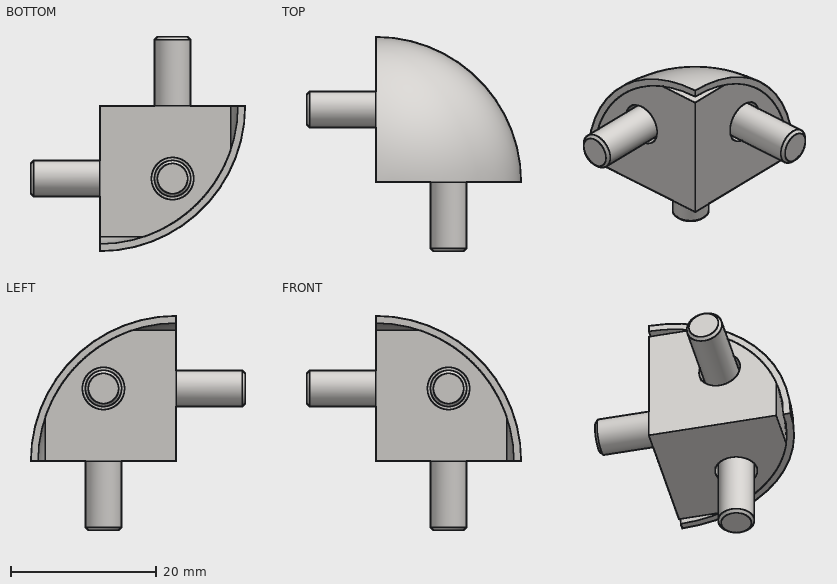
import cadquery as cq

shell_radius = 20.0
shell_thickness = 1.0
core_side = 18.0
pin_diameter = 5.0
overall_size = 29.5
pin_chamfer = 0.4
hole_diameter = 5.8
hole_depth = 5.0

core_radius = shell_radius - shell_thickness
pin_offset = shell_radius / 2
pin_projection = overall_size - shell_radius

pin_directions = [(1, 0, 0), (0, 1, 0), (0, 0, 1)]


def octant_ball(radius):
    """Eighth of a ball in the positive X, Y, Z corner."""
    corner_box = cq.Workplane("XY").box(radius, radius, radius, centered=False)
    return cq.Workplane("XY").sphere(radius).intersect(corner_box)


def rod(direction, diameter, start, end):
    """Cylinder on a pin axis, from start to end measured inward from the flat face."""
    base = [start if component else pin_offset for component in direction]
    solid = cq.Solid.makeCylinder(diameter / 2, end - start, cq.Vector(*base), cq.Vector(*direction))
    return cq.Workplane(obj=solid)


def make_shell():
    """Spherical cover of constant thickness."""
    return octant_ball(shell_radius).cut(octant_ball(core_radius))


def make_core():
    """Cube rounded by the inside of the shell, with a blind clearance hole for each pin."""
    cube = cq.Workplane("XY").box(core_side, core_side, core_side, centered=False)
    core = octant_ball(core_radius).intersect(cube)
    for direction in pin_directions:
        core = core.cut(rod(direction, hole_diameter, 0, hole_depth))
    return core


def make_pin(direction):
    """Pin standing on the floor of its hole, chamfered at the free end."""
    pin = rod(direction, pin_diameter, -pin_projection, hole_depth)
    free_end = cq.selectors.DirectionMinMaxSelector(cq.Vector(*direction), False)
    return pin.faces(free_end).chamfer(pin_chamfer)


shell = make_shell()
core = make_core()
pins = [make_pin(direction) for direction in pin_directions]

result = cq.Compound.makeCompound([shell.val(), core.val(), *[pin.val() for pin in pins]])